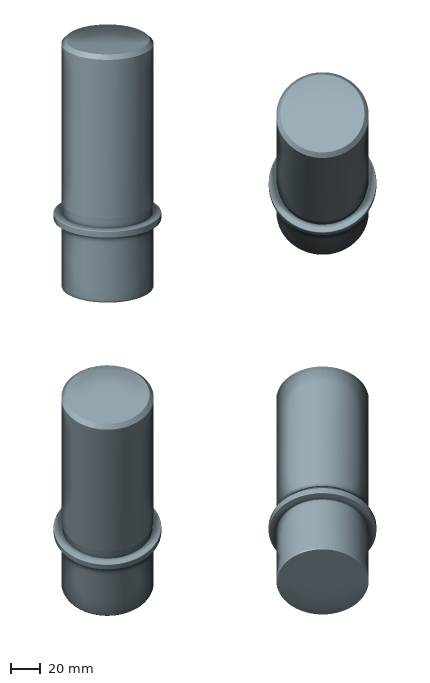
import cadquery as cq

pin_length = 179.0
body_radius = 31.3
top_chamfer = 2.9
bottom_chamfer_height = 0.9
bottom_chamfer_width = 0.4

groove_bottom = 47.5
groove_top = 60.9
groove_radius = 30.6

ring_bottom = 48.9
ring_thickness = 5.0
ring_radius = 36.5
ring_edge_fillet = 0.5


def make_body():
    """Solid round pin with a chamfer at each end."""
    body = cq.Workplane("XY").circle(body_radius).extrude(pin_length)
    body = body.faces(">Z").chamfer(top_chamfer)
    return body.faces("<Z").edges().chamfer(bottom_chamfer_height, bottom_chamfer_width)


def make_groove():
    """Annular cutter for the shallow groove around the pin."""
    return (
        cq.Workplane("XY", origin=(0, 0, groove_bottom))
        .circle(ring_radius)
        .circle(groove_radius)
        .extrude(groove_top - groove_bottom)
    )


def make_ring():
    """Disc with rounded rims; its outer part stands out as the ring."""
    return (
        cq.Workplane("XY", origin=(0, 0, ring_bottom))
        .circle(ring_radius)
        .extrude(ring_thickness)
        .edges()
        .fillet(ring_edge_fillet)
    )


result = make_body().cut(make_groove()).union(make_ring())